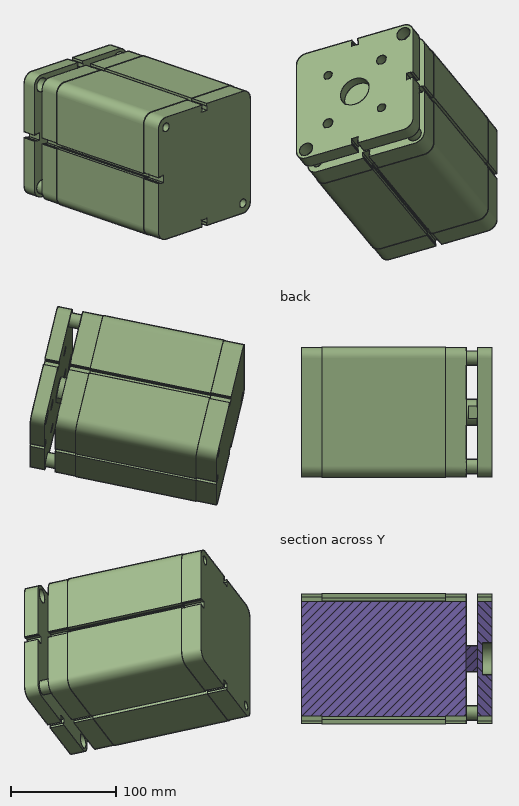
import cadquery as cq


overall_length = 181.0
plate_thickness = 14.0
rod_gap = 10.5
cap_length = 19.7

plate_back = plate_thickness
housing_front = plate_back + rod_gap
barrel_start = housing_front + cap_length
barrel_length = overall_length - cap_length - barrel_start
rear_cap_start = barrel_start + barrel_length

barrel_width = 124.0
cap_width = 123.0
cap_corner_radius = 10.1
barrel_corner_radius = cap_corner_radius + (barrel_width - cap_width) / 2

cap_slot = (6.0, 7.2, 2.7, 7.0)
barrel_slot = (4.7, 6.0, 4.3, 7.2)
slot_angles = (0, 90, 180)

corner_offset = 51.4
guide_rod_diameter = 14.0
screw_hole_diameter = 8.5
screw_access_diameter = 13.8

mount_offset = 28.2
mount_large_diameter = 10.1
mount_small_diameter = 8.7
recess_diameter = 30.0
recess_depth = 9.0

piston_rod_diameter = 25.0
flat_width = 22.0
flat_length = 8.7
flat_depth = (piston_rod_diameter - flat_width) / 2
rod_chamfer = 0.5

SCREW_DIAGONAL = ((-1, 1), (1, -1))
ROD_DIAGONAL = ((1, 1), (-1, -1))


def diagonal_points(offset, diagonal):
    return [(y * offset, z * offset) for y, z in diagonal]


def cylinders(points, diameter, start, length):
    """Cylinders along X, centred on the (Y, Z) points."""
    return (
        cq.Workplane("YZ", origin=(start, 0, 0))
        .pushPoints(points)
        .circle(diameter / 2)
        .extrude(length)
    )


def t_slot(face, slot, start, length):
    """T-slot cutter along X, opening through a +Z side that lies at height face."""
    mouth_width, inner_width, lip_depth, floor_depth = slot
    floor = face - floor_depth
    lip = face - lip_depth
    return (
        cq.Workplane("YZ", origin=(start, 0, 0))
        .moveTo(-inner_width / 2, floor)
        .lineTo(inner_width / 2, floor)
        .lineTo(inner_width / 2, lip)
        .lineTo(mouth_width / 2, lip)
        .lineTo(mouth_width / 2, face)
        .lineTo(-mouth_width / 2, face)
        .lineTo(-mouth_width / 2, lip)
        .lineTo(-inner_width / 2, lip)
        .close()
        .extrude(length)
    )


def slotted_block(width, corner_radius, slot, start, length):
    """Rounded square block along X with T-slots on three sides."""
    block = (
        cq.Workplane("YZ", origin=(start, 0, 0))
        .rect(width, width)
        .extrude(length)
        .edges("|X")
        .fillet(corner_radius)
    )
    cutter = t_slot(width / 2, slot, start, length)
    for angle in slot_angles:
        block = block.cut(cutter.rotate((0, 0, 0), (1, 0, 0), angle))
    return block


def make_housing():
    """Barrel between two slightly smaller end cap sections, with two through screw holes."""
    front_cap = slotted_block(cap_width, cap_corner_radius, cap_slot, housing_front, cap_length)
    barrel = slotted_block(
        barrel_width, barrel_corner_radius, barrel_slot, barrel_start, barrel_length
    )
    rear_cap = slotted_block(cap_width, cap_corner_radius, cap_slot, rear_cap_start, cap_length)
    screw_holes = cylinders(
        diagonal_points(corner_offset, SCREW_DIAGONAL),
        screw_hole_diameter,
        housing_front,
        overall_length - housing_front,
    )
    return front_cap.union(barrel).union(rear_cap).cut(screw_holes)


def make_yoke_plate():
    """Slotted plate with screw access holes, four mounting holes and a blind centre recess."""
    plate = slotted_block(cap_width, cap_corner_radius, cap_slot, 0, plate_thickness)
    through_holes = (
        (corner_offset, SCREW_DIAGONAL, screw_access_diameter),
        (mount_offset, SCREW_DIAGONAL, mount_large_diameter),
        (mount_offset, ROD_DIAGONAL, mount_small_diameter),
    )
    for offset, diagonal, diameter in through_holes:
        points = diagonal_points(offset, diagonal)
        plate = plate.cut(cylinders(points, diameter, 0, plate_thickness))
    return plate.cut(cylinders([(0, 0)], recess_diameter, 0, recess_depth))


def make_piston_rod():
    """Rod between plate and housing, chamfered at the plate, with wrench flats on the Y sides."""
    rod = cylinders([(0, 0)], piston_rod_diameter, plate_back, rod_gap)
    rod = rod.faces("<X").chamfer(rod_chamfer)
    for side in (-1, 1):
        flat_cutter = cq.Workplane("XY").box(
            flat_length, flat_depth, piston_rod_diameter, centered=(False, True, True)
        )
        flat_centre = side * (flat_width + flat_depth) / 2
        rod = rod.cut(flat_cutter.translate((plate_back, flat_centre, 0)))
    return rod


def make_guide_rod(point):
    """Plain round rod between plate and housing at one (Y, Z) point."""
    return cylinders([point], guide_rod_diameter, plate_back, rod_gap)


housing = make_housing()
yoke_plate = make_yoke_plate()
piston_rod = make_piston_rod()
guide_rods = []
for rod_point in diagonal_points(corner_offset, ROD_DIAGONAL):
    guide_rods.append(make_guide_rod(rod_point).val())

result = cq.Compound.makeCompound(
    [housing.val(), yoke_plate.val(), piston_rod.val(), *guide_rods]
)